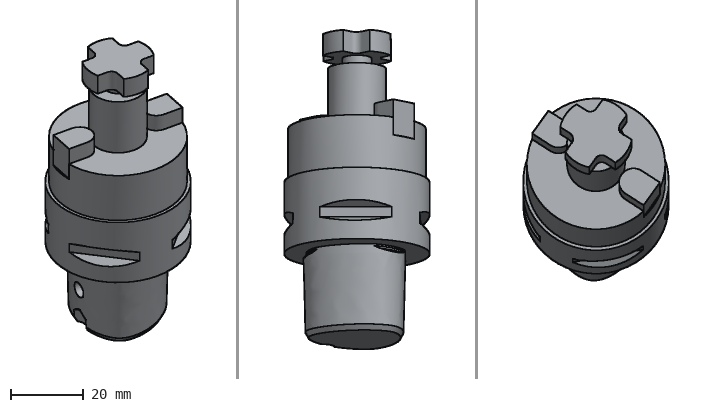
import cadquery as cq
import math

total_height = 85.0
end_chamfer_height = 1.5
straight_shank_base = 21.5
flange_base = 24.0
body_base = 44.0
arbor_base = 59.0
neck_base = 76.0
head_base = 79.0

flange_diameter = 40.0
body_diameter = 38.0
arbor_diameter = 16.0
neck_diameter = 8.0
head_diameter = 20.0

shank_mean_radius = 14.0
shank_eccentricity = 0.9
shank_taper = 1 / 20
end_chamfer_inset = 0.85
outline_points = 48

relief_neck_radius = 14.0
relief_neck_depth = 0.5
relief_step_radius = 14.4
relief_step_depth = 1.2
relief_end_radius = 15.05
relief_end_depth = 1.9

arm_width = 8.0
arm_root_fillet = 1.95
key_width = 8.0
key_seat = 54.0
key_top = 64.0
key_outer_face = 18.5
key_inner_end = 8.5

slot_count = 4
first_slot_angle = 45.0
slot_height = 32.05
slot_floor_width = 2.8
slot_floor_distance = 17.4
slot_wall_angle = 30.0

drill_half_angle = 48.0
dimple_diameter = 4.6
dimple_height = 12.5
dimple_depth = 3.8
notch_diameter = 6.8
notch_depth = 3.9
notch_axis_distance = 13.9


def cylinder(diameter, base, top):
    return cq.Workplane("XY").workplane(offset=base).circle(diameter / 2).extrude(top - base)


def lobed_outline(mean_radius):
    """Points of a constant-width curve with three lobes, one of them on +Y."""
    points = []
    for index in range(outline_points):
        angle = 2 * math.pi * index / outline_points
        along = (
            mean_radius * math.cos(angle)
            + 2 * shank_eccentricity * math.cos(2 * angle)
            - shank_eccentricity * math.cos(4 * angle)
        )
        across = (
            mean_radius * math.sin(angle)
            - 2 * shank_eccentricity * math.sin(2 * angle)
            - shank_eccentricity * math.sin(4 * angle)
        )
        points.append((-across, along))
    return points


def lobed_section(base, top, base_radius, top_radius):
    return (
        cq.Workplane("XY", origin=(0, 0, base))
        .spline(lobed_outline(base_radius), periodic=True)
        .close()
        .workplane(offset=top - base)
        .spline(lobed_outline(top_radius), periodic=True)
        .close()
        .loft(ruled=True)
    )


def shank():
    taper_length = straight_shank_base - end_chamfer_height
    small_radius = shank_mean_radius - shank_taper * taper_length / 2
    end_radius = small_radius - end_chamfer_inset
    chamfer = lobed_section(0, end_chamfer_height, end_radius, small_radius)
    taper = lobed_section(end_chamfer_height, straight_shank_base, small_radius, shank_mean_radius)
    straight = lobed_section(straight_shank_base, flange_base, shank_mean_radius, shank_mean_radius)
    return chamfer.union(taper).union(straight)


def lobe_relief():
    """Ring whose necked and flared inside trims the tips of the lobes below the flange."""
    outer = flange_diameter / 2
    return (
        cq.Workplane("XZ")
        .polyline(
            [
                (relief_neck_radius, flange_base),
                (relief_neck_radius, flange_base - relief_neck_depth),
                (relief_step_radius, flange_base - relief_step_depth),
                (relief_end_radius, flange_base - relief_end_depth),
                (outer, flange_base - relief_end_depth),
                (outer, flange_base),
            ]
        )
        .close()
        .revolve(360, (0, 0, 0), (0, 1, 0))
    )


def drill(diameter, depth):
    """Pointed drill along +Z, starting at the origin, full diameter to the given depth."""
    radius = diameter / 2
    tip = radius / math.tan(math.radians(drill_half_angle))
    return (
        cq.Workplane("XZ")
        .polyline([(0, 0), (radius, 0), (radius, depth), (0, depth + tip)])
        .close()
        .revolve(360, (0, 0, 0), (0, 1, 0))
    )


def side_dimple():
    return (
        drill(dimple_diameter, dimple_depth)
        .rotate((0, 0, 0), (1, 0, 0), -90)
        .translate((0, -shank_mean_radius, dimple_height))
    )


def end_notch():
    return drill(notch_diameter, notch_depth).translate((0, -notch_axis_distance, 0))


def gripper_slot(angle):
    """Flat-bottomed slot with flared walls across the flange."""
    outer = flange_diameter / 2
    half_floor = slot_floor_width / 2
    flare = (outer - slot_floor_distance) * math.tan(math.radians(slot_wall_angle))
    return (
        cq.Workplane("XZ")
        .polyline(
            [
                (slot_floor_distance, slot_height - half_floor),
                (outer, slot_height - half_floor - flare),
                (outer, slot_height + half_floor + flare),
                (slot_floor_distance, slot_height + half_floor),
            ]
        )
        .close()
        .extrude(outer, both=True)
        .rotate((0, 0, 0), (0, 0, 1), angle)
    )


def key_seat_cut(side):
    """Notch in the body rim outside the key face."""
    return (
        cq.Workplane("XY", origin=(0, 0, key_seat))
        .center(0, side * (key_outer_face + body_diameter / 4))
        .rect(key_width, body_diameter / 2)
        .extrude(arbor_base - key_seat)
    )


def drive_key(side):
    """Key with a square outer face and a fully round inner end."""
    round_start = key_inner_end + key_width / 2
    return (
        cq.Workplane("XY", origin=(0, 0, key_seat))
        .moveTo(-key_width / 2, side * key_outer_face)
        .lineTo(-key_width / 2, side * round_start)
        .threePointArc((0, side * key_inner_end), (key_width / 2, side * round_start))
        .lineTo(key_width / 2, side * key_outer_face)
        .close()
        .extrude(key_top - key_seat)
    )


def cross_head():
    height = total_height - head_base
    plane = cq.Workplane("XY", origin=(0, 0, head_base))
    cross = plane.rect(head_diameter, arm_width).extrude(height)
    cross = cross.union(plane.rect(arm_width, head_diameter).extrude(height))
    roots = cq.selectors.BoxSelector(
        (-arm_width, -arm_width, head_base), (arm_width, arm_width, total_height)
    )
    cross = cross.edges("|Z").edges(roots).fillet(arm_root_fillet)
    return cross.intersect(cylinder(head_diameter, head_base, total_height))


result = shank().cut(lobe_relief())
result = result.cut(side_dimple()).cut(end_notch())

result = result.union(cylinder(flange_diameter, flange_base, body_base))
for index in range(slot_count):
    result = result.cut(gripper_slot(first_slot_angle + index * 360 / slot_count))

result = result.union(cylinder(body_diameter, body_base, arbor_base))
for side in (-1, 1):
    result = result.cut(key_seat_cut(side)).union(drive_key(side))

result = result.union(cylinder(arbor_diameter, arbor_base, neck_base))
result = result.union(cylinder(neck_diameter, neck_base, head_base))
result = result.union(cross_head())